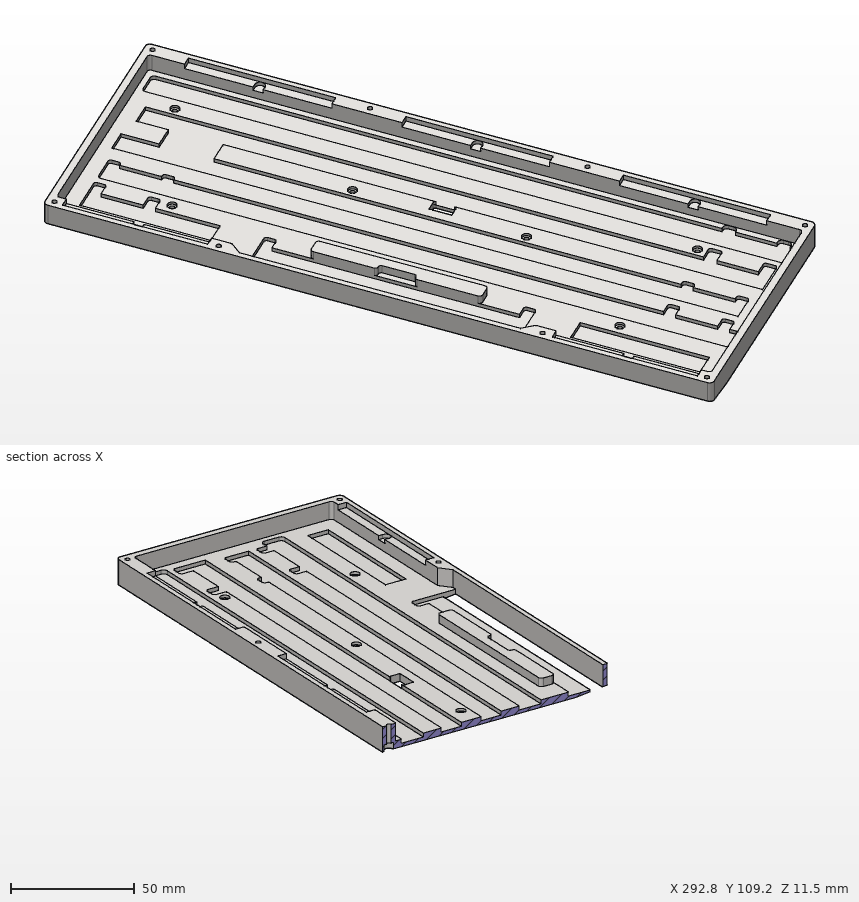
import cadquery as cq
import math

LENGTH = 292.8
WIDTH = 109.2
HEIGHT = 11.5
CORNER_RADIUS = 2.0
BEVEL_LENGTH = 15.2
BEVEL_ANGLE = 6.0

SIDE_WALL = 3.2
RIM_WIDTH = 6.5
THIN_WALL = 2.3
CAVITY_RADIUS = 1.5
FLOOR_Z = 3.5
RELIEF_HALF_TOP = 66.5
RELIEF_HALF_BOTTOM = 61.5

POCKET_DEPTH = 1.8
POCKET_Z = FLOOR_Z - POCKET_DEPTH
POCKET_RADIUS = 1.8
TAB_RADIUS = 1.2
TAB_OVERLAP = 3.0

REAR_PITCH = 95.0
REAR_SEAT_LENGTH = 64.5
FRONT_SEAT_X = 107.1
FRONT_SEAT_LENGTH = 63.5
SEAT_DEPTH = 2.3
NOTCH_WIDTH = 4.5
NOTCH_DEPTH = 4.0

SCREW_DIAMETER = 2.1
SCREW_HEAD_DIAMETER = 4.5
SCREW_HEAD_DEPTH = 3.0
SCREW_INSET = 3.07
FRONT_SCREW_X = 70.8

BOARD_HOLE_DIAMETER = 2.1
BOARD_RECESS_DIAMETER = 4.0
BOARD_RECESS_DEPTH = 1.2
BOARD_HOLES = [(-123.8, 29.5), (104.8, 29.5), (-38.0, 10.2), (38.0, 10.2), (-101.5, -26.5), (94.3, -26.5)]

OPENING_HALF = 59.5
OPENING_REAR_Y = -46.3
POCKET_REAR_Y = -35.7
BAR_HALF = 37.5
BAR_WIDTH = 7.0
BAR_TOP_Z = 7.3
BAR_RADIUS = 1.5
BAR_NOTCH_HALF = 8.2
BAR_NOTCH_WIDTH = 2.5
BAR_NOTCH_RADIUS = 1.2

WINDOW_HALF = 5.0
WINDOW_Y = (11.0, 16.5)
WINDOW_RADIUS = 1.0

REAR_Y = WIDTH / 2
FRONT_Y = -WIDTH / 2
CAVITY_REAR_Y = REAR_Y - RIM_WIDTH
CAVITY_FRONT_Y = FRONT_Y + RIM_WIDTH
THIN_FRONT_Y = FRONT_Y + THIN_WALL


def block(x_range, y_range, z_range, radius=0.0, rounded="|Z"):
    """Box between the given limits, with the selected edges rounded."""
    x0, x1 = x_range
    y0, y1 = y_range
    z0, z1 = z_range
    box = cq.Workplane("XY").box(x1 - x0, y1 - y0, z1 - z0, centered=False).translate((x0, y0, z0))
    if radius > 0:
        box = box.edges(rounded).fillet(radius)
    return box


def pocket(x_range, y_range, radius=0.0):
    """Shallow pocket in the floor."""
    return block(x_range, y_range, (POCKET_Z, FLOOR_Z), radius)


def tabs(x_ranges, base_y, top_y, radius=TAB_RADIUS):
    """Small pocket extensions reaching back from base_y to top_y, with rounded far corners."""
    cutter = cq.Workplane("XY")
    for x_range in x_ranges:
        y_range = (base_y - TAB_OVERLAP, top_y)
        cutter = cutter.add(block(x_range, y_range, (POCKET_Z, FLOOR_Z), radius, "|Z and >Y"))
    return cutter.combine()


def mirrored(x_range):
    return (-x_range[1], -x_range[0])


def body():
    shell = block((-LENGTH / 2, LENGTH / 2), (FRONT_Y, REAR_Y), (0, HEIGHT), CORNER_RADIUS)
    rise = BEVEL_LENGTH * math.tan(math.radians(BEVEL_ANGLE))
    bevel = (
        cq.Workplane("YZ")
        .polyline([(FRONT_Y, 0), (FRONT_Y + BEVEL_LENGTH, 0), (FRONT_Y, rise)])
        .close()
        .extrude(LENGTH / 2, both=True)
    )
    return shell.cut(bevel)


def cavity():
    half = LENGTH / 2 - SIDE_WALL
    main = block((-half, half), (CAVITY_FRONT_Y, CAVITY_REAR_Y), (FLOOR_Z, HEIGHT), CAVITY_RADIUS)
    relief = (
        cq.Workplane("XY")
        .workplane(offset=FLOOR_Z)
        .polyline([
            (-RELIEF_HALF_TOP, CAVITY_FRONT_Y),
            (-RELIEF_HALF_BOTTOM, THIN_FRONT_Y),
            (RELIEF_HALF_BOTTOM, THIN_FRONT_Y),
            (RELIEF_HALF_TOP, CAVITY_FRONT_Y),
        ])
        .close()
        .extrude(HEIGHT - FLOOR_Z)
    )
    return main.union(relief)


def seat(x, length, side):
    """Seat in the rim, open to the cavity; side is +1 on the rear rim and -1 on the front rim."""
    outer_y = REAR_Y - THIN_WALL
    inner_y = CAVITY_REAR_Y
    ledge = block((x - length / 2, x + length / 2), (inner_y, outer_y), (HEIGHT - SEAT_DEPTH, HEIGHT))
    notch = block(
        (x - NOTCH_WIDTH / 2, x + NOTCH_WIDTH / 2),
        (inner_y, outer_y - NOTCH_WIDTH / 2),
        (HEIGHT - NOTCH_DEPTH, HEIGHT),
    )
    notch_end = (
        cq.Workplane("XY")
        .workplane(offset=HEIGHT - NOTCH_DEPTH)
        .center(x, outer_y - NOTCH_WIDTH / 2)
        .circle(NOTCH_WIDTH / 2)
        .extrude(NOTCH_DEPTH)
    )
    cutter = ledge.union(notch).union(notch_end)
    if side < 0:
        cutter = cutter.mirror("XZ")
    return cutter


def round_holes(points, diameter, z_range):
    z0, z1 = z_range
    return cq.Workplane("XY").workplane(offset=z0).pushPoints(points).circle(diameter / 2).extrude(z1 - z0)


result = body().cut(cavity())

for index in (-1, 0, 1):
    result = result.cut(seat(index * REAR_PITCH, REAR_SEAT_LENGTH, 1))
for x in (-FRONT_SEAT_X, FRONT_SEAT_X):
    result = result.cut(seat(x, FRONT_SEAT_LENGTH, -1))

screw_y = REAR_Y - SCREW_INSET
corner_screw_x = 1.5 * REAR_PITCH
rear_xs = [-corner_screw_x, -REAR_PITCH / 2, REAR_PITCH / 2, corner_screw_x]
front_xs = [-corner_screw_x, -FRONT_SCREW_X, FRONT_SCREW_X, corner_screw_x]
rim_screws = [(x, screw_y) for x in rear_xs] + [(x, -screw_y) for x in front_xs]
result = result.cut(round_holes(rim_screws, SCREW_DIAMETER, (0, HEIGHT)))
result = result.cut(round_holes(rim_screws, SCREW_HEAD_DIAMETER, (0, SCREW_HEAD_DEPTH)))

row = (34.8, 45.5)
result = result.cut(pocket((-140.5, 140.5), row, POCKET_RADIUS))
result = result.cut(tabs([(109.0, 114.8), (133.0, 138.8)], row[1], 48.0, POCKET_RADIUS))

row_2 = (16.5, 26.0)
row_3 = (-3.0, 6.7)
result = result.cut(pocket((-135.3, 138.8), row_2))
result = result.cut(tabs([(109.0, 114.8), (133.0, 138.8)], row_2[1], 32.2))
result = result.cut(pocket((-138.0, 136.0), row_3))
result = result.cut(tabs([(107.1, 112.5), (131.0, 136.0)], row_3[1], 9.0))
result = result.cut(pocket((-121.2, -97.2), (row_3[1], row_2[0])))

row = (-22.2, -11.7)
left_tabs = [(-136.0, -131.0), (-112.5, -107.1)]
right_tabs = [mirrored(tab) for tab in left_tabs]
result = result.cut(block((-136.0, 140.5), row, (POCKET_Z, FLOOR_Z), POCKET_RADIUS, "|Z and (>X or <Y)"))
result = result.cut(tabs(left_tabs, row[1], -10.0))
result = result.cut(tabs(right_tabs, row[1], -6.5))

row = (-41.0, -31.0)
result = result.cut(pocket((-136.0, -78.7), row))
result = result.cut(tabs(left_tabs, row[1], -25.2))
result = result.cut(pocket((78.7, 135.3), row))

opening = (-OPENING_HALF, OPENING_HALF)
opening_tab = (-OPENING_HALF, -54.2)
result = result.cut(pocket(opening, (THIN_FRONT_Y, POCKET_REAR_Y)))
result = result.cut(tabs([opening_tab, mirrored(opening_tab)], POCKET_REAR_Y, -30.5))
result = result.cut(block(opening, (THIN_FRONT_Y, OPENING_REAR_Y), (0, FLOOR_Z)))

bar_y = (POCKET_REAR_Y, POCKET_REAR_Y + BAR_WIDTH)
bar = block((-BAR_HALF, BAR_HALF), bar_y, (FLOOR_Z, BAR_TOP_Z), BAR_RADIUS)
notch_y = (POCKET_REAR_Y, POCKET_REAR_Y + BAR_NOTCH_WIDTH)
notch_x = (-BAR_NOTCH_HALF, BAR_NOTCH_HALF)
bar_notch = block(notch_x, notch_y, (FLOOR_Z, BAR_TOP_Z), BAR_NOTCH_RADIUS, "|Z and >Y")
mouth_corners = cq.selectors.BoxSelector(
    (-BAR_NOTCH_HALF - BAR_NOTCH_RADIUS, bar_y[0] - BAR_NOTCH_RADIUS, FLOOR_Z),
    (BAR_NOTCH_HALF + BAR_NOTCH_RADIUS, bar_y[0] + BAR_NOTCH_RADIUS, BAR_TOP_Z),
)
bar = bar.cut(bar_notch).edges("|Z").edges(mouth_corners).fillet(BAR_NOTCH_RADIUS)
result = result.union(bar)

window = block((-WINDOW_HALF, WINDOW_HALF), WINDOW_Y, (0, FLOOR_Z), WINDOW_RADIUS, "|Z and >Y")
result = result.cut(window)

result = result.cut(round_holes(BOARD_HOLES, BOARD_HOLE_DIAMETER, (0, FLOOR_Z)))
recess_z = (FLOOR_Z - BOARD_RECESS_DEPTH, FLOOR_Z)
result = result.cut(round_holes(BOARD_HOLES, BOARD_RECESS_DIAMETER, recess_z))